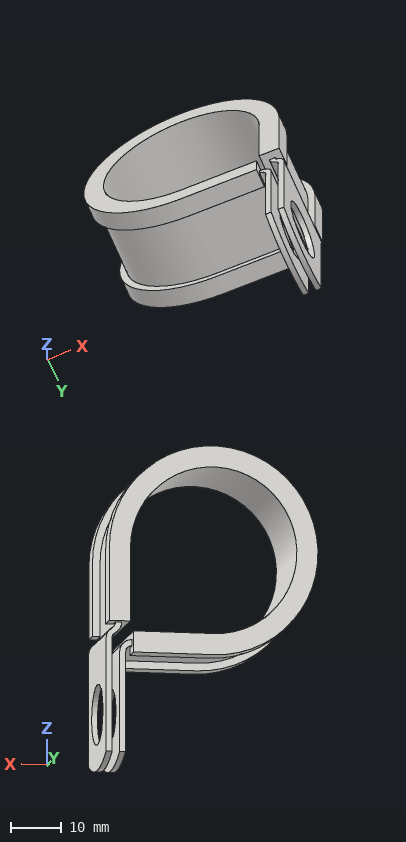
import cadquery as cq
import math

outer_radius = 20.9
inner_radius = 16.65
cushion_width = 22.1
vertical_leg_length = 14.75
horizontal_leg_length = 16.1

strap_outer_radius = 19.4
strap_thickness = 1.2
strap_inner_radius = strap_outer_radius - strap_thickness
strap_width = 19.0
groove_width = 14.1

bend_inner_radius = 1.3
bend_outer_radius = bend_inner_radius + strap_thickness
jog_angle = math.radians(60)

tab_bottom = -42.85
tab_corner_z = -40.6
inner_tab_hole_diameter = 10.35
outer_tab_hole_diameter = 12.0
hole_z = -31.7


def extrude_centred(profile, width):
    """Extrude an XZ profile equally to both sides of the Y = 0 plane."""
    return profile.extrude(width / 2, both=True)


def loop_band(inside, outside, width):
    """Three-quarter ring running into a vertical and a horizontal straight leg."""
    diagonal = math.sqrt(0.5)
    profile = (
        cq.Workplane("XZ")
        .moveTo(outside, -vertical_leg_length)
        .lineTo(outside, 0)
        .threePointArc((-outside * diagonal, outside * diagonal), (0, -outside))
        .lineTo(horizontal_leg_length, -outside)
        .lineTo(horizontal_leg_length, -inside)
        .lineTo(0, -inside)
        .threePointArc((-inside * diagonal, inside * diagonal), (inside, 0))
        .lineTo(inside, -vertical_leg_length)
        .close()
    )
    return extrude_centred(profile, width)


def arc_point(centre, radius, angle):
    return (centre[0] + radius * math.cos(angle), centre[1] + radius * math.sin(angle))


def horizontal_leg_tab():
    """Strap leaving the horizontal leg and turning straight down."""
    centre = (horizontal_leg_length, -strap_inner_radius - bend_outer_radius)
    middle = math.radians(45)
    profile = (
        cq.Workplane("XZ")
        .moveTo(centre[0], -strap_inner_radius)
        .threePointArc(
            arc_point(centre, bend_outer_radius, middle),
            arc_point(centre, bend_outer_radius, 0),
        )
        .lineTo(centre[0] + bend_outer_radius, tab_bottom)
        .lineTo(centre[0] + bend_inner_radius, tab_bottom)
        .lineTo(centre[0] + bend_inner_radius, centre[1])
        .threePointArc(
            arc_point(centre, bend_inner_radius, middle),
            arc_point(centre, bend_inner_radius, math.pi / 2),
        )
        .close()
    )
    return extrude_centred(profile, strap_width)


def vertical_leg_tab():
    """Strap leaving the vertical leg, jogging outward, then running down."""
    centre_distance = bend_inner_radius + bend_outer_radius
    upper = (strap_outer_radius + bend_inner_radius, -vertical_leg_length)
    lower = arc_point(upper, centre_distance, math.pi + jog_angle)
    upper_middle = math.pi + jog_angle / 2
    upper_end = math.pi + jog_angle
    lower_middle = jog_angle / 2
    profile = (
        cq.Workplane("XZ")
        .moveTo(strap_outer_radius, -vertical_leg_length)
        .threePointArc(
            arc_point(upper, bend_inner_radius, upper_middle),
            arc_point(upper, bend_inner_radius, upper_end),
        )
        .threePointArc(
            arc_point(lower, bend_outer_radius, lower_middle),
            arc_point(lower, bend_outer_radius, 0),
        )
        .lineTo(lower[0] + bend_outer_radius, tab_bottom)
        .lineTo(lower[0] + bend_inner_radius, tab_bottom)
        .lineTo(lower[0] + bend_inner_radius, lower[1])
        .threePointArc(
            arc_point(lower, bend_inner_radius, lower_middle),
            arc_point(lower, bend_inner_radius, jog_angle),
        )
        .threePointArc(
            arc_point(upper, bend_outer_radius, upper_middle),
            arc_point(upper, bend_outer_radius, math.pi),
        )
        .close()
    )
    return extrude_centred(profile, strap_width)


def tab_envelope(hole_diameter):
    """Rounded lower outline of a tab, with its bolt hole removed."""
    half_width = strap_width / 2
    length = 2 * outer_radius
    outline = (
        cq.Workplane("YZ")
        .moveTo(-half_width, 0)
        .lineTo(-half_width, tab_corner_z)
        .threePointArc((0, tab_bottom), (half_width, tab_corner_z))
        .lineTo(half_width, 0)
        .close()
        .extrude(length)
    )
    hole = cq.Workplane("YZ").center(0, hole_z).circle(hole_diameter / 2).extrude(length)
    return outline.cut(hole)


cushion = loop_band(inner_radius, outer_radius, cushion_width)
groove = loop_band(strap_outer_radius, outer_radius, groove_width)
inner_tab = horizontal_leg_tab().intersect(tab_envelope(inner_tab_hole_diameter))
outer_tab = vertical_leg_tab().intersect(tab_envelope(outer_tab_hole_diameter))

result = cushion.cut(groove).union(inner_tab).union(outer_tab)